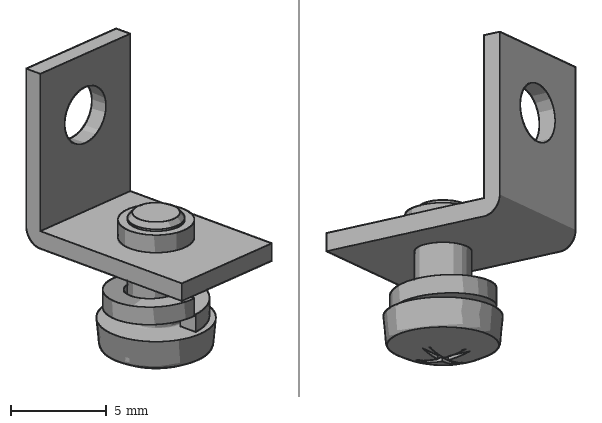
import cadquery as cq
import math


sheet = 1.0
bracket_length = 11.0
bracket_width = 7.0
bracket_height = 10.0
screw_to_edge = 5.0
base_bottom = 3.58
mount_hole_diameter = 3.2
mount_hole_drop = bracket_width / 2
boss_diameter = 4
boss_height = sheet

shank_diameter = 3.0
shank_length = 6.0
tip_chamfer_width = 0.25
tip_chamfer_height = 0.3
neck_fillet = 0.1
head_height = 2.4
head_diameter = 6.26
rim_diameter = 6.0
rim_depth = 1.39
dome_diameter = 5.85
dome_start = 1.58
slot_width = 0.4
slot_depth = 0.22

washer_inner_diameter = 3.39
washer_outer_diameter = 5.59
washer_thickness = 1.0
washer_pitch = 0.96
washer_sweep = 358


def make_bracket():
    """L-shaped sheet with a mounting hole and a boss bored for the screw."""
    right = screw_to_edge
    left = right - bracket_length
    top = base_bottom + bracket_height
    base_top = base_bottom + sheet
    bend_offset = sheet * math.sqrt(0.5)
    bend_middle = (left + sheet - bend_offset, base_top - bend_offset)

    body = (
        cq.Workplane("XZ")
        .moveTo(left, top)
        .lineTo(left, base_top)
        .threePointArc(bend_middle, (left + sheet, base_bottom))
        .lineTo(right, base_bottom)
        .lineTo(right, base_top)
        .lineTo(left + sheet, base_top)
        .lineTo(left + sheet, top)
        .close()
        .extrude(bracket_width / 2, both=True)
    )
    boss = cq.Workplane("XY", origin=(0, 0, base_top)).circle(boss_diameter / 2).extrude(boss_height)
    bore = (
        cq.Workplane("XY", origin=(0, 0, base_bottom))
        .circle(shank_diameter / 2)
        .extrude(sheet + boss_height)
    )
    mount_hole = (
        cq.Workplane("YZ", origin=(left, 0, top - mount_hole_drop))
        .circle(mount_hole_diameter / 2)
        .extrude(sheet)
    )
    return body.union(boss).cut(bore).cut(mount_hole)


def make_screw():
    """Turned screw with a tapered, domed head and a cross slot."""
    shank_radius = shank_diameter / 2
    rim_radius = rim_diameter / 2
    dome_radius = dome_diameter / 2
    dome_height = head_height - dome_start
    sphere_radius = (dome_radius**2 + dome_height**2) / (2 * dome_height)
    middle_radius = dome_radius / 2
    middle_z = sphere_radius - head_height - math.sqrt(sphere_radius**2 - middle_radius**2)
    fillet_offset = neck_fillet * (1 - math.sqrt(0.5))

    screw = (
        cq.Workplane("XZ")
        .moveTo(0, shank_length)
        .lineTo(shank_radius - tip_chamfer_width, shank_length)
        .lineTo(shank_radius, shank_length - tip_chamfer_height)
        .lineTo(shank_radius, neck_fillet)
        .threePointArc((shank_radius + fillet_offset, fillet_offset), (shank_radius + neck_fillet, 0))
        .lineTo(head_diameter / 2, 0)
        .lineTo(rim_radius, -rim_depth)
        .tangentArcPoint((dome_radius, -dome_start), relative=False)
        .threePointArc((middle_radius, middle_z), (0, -head_height))
        .close()
        .revolve(360, (0, 0, 0), (0, 1, 0))
    )
    for angle in (0, 90):
        slot = (
            cq.Workplane("XY", origin=(0, 0, -head_height))
            .rect(head_diameter, slot_width)
            .extrude(slot_depth)
            .rotate((0, 0, 0), (0, 0, 1), angle)
        )
        screw = screw.cut(slot)
    return screw


def make_spring_washer():
    """Rectangular section swept up one helical turn, starting on the head at +X."""
    inner_radius = washer_inner_diameter / 2
    outer_radius = washer_outer_diameter / 2
    rise = washer_pitch * washer_sweep / 360
    helix = cq.Wire.makeHelix(washer_pitch, rise, outer_radius)
    return (
        cq.Workplane("XZ")
        .moveTo(inner_radius, 0)
        .lineTo(outer_radius, 0)
        .lineTo(outer_radius, washer_thickness)
        .lineTo(inner_radius, washer_thickness)
        .close()
        .sweep(cq.Workplane(helix), isFrenet=True)
    )


bracket = make_bracket()
screw = make_screw()
spring_washer = make_spring_washer()
result = cq.Compound.makeCompound([bracket.val(), screw.val(), spring_washer.val()])